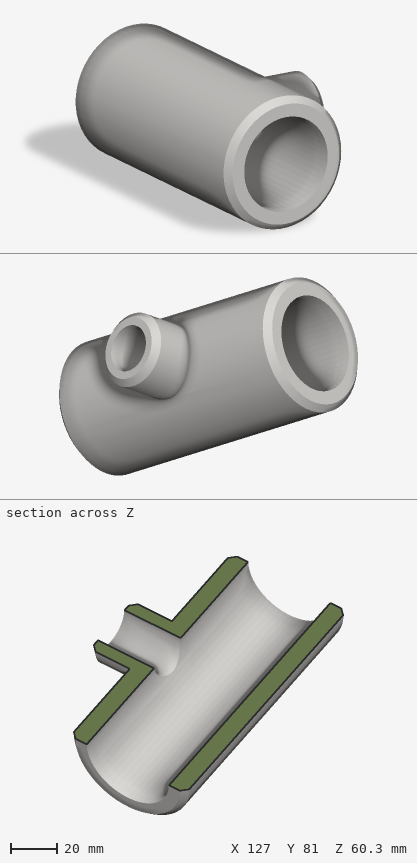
import cadquery as cq

run_length = 127.0
run_diameter = 60.3
run_bore = 42.8
branch_diameter = 33.4
branch_bore = 20.7
branch_reach = 50.8
bevel = 2.9


def make_run():
    """Solid run, centred on the origin and bevelled at both ends."""
    body = cq.Workplane("YZ").circle(run_diameter / 2).extrude(run_length / 2, both=True)
    return body.faces("<X or >X").chamfer(bevel)


def branch_cylinder(diameter):
    """Cylinder from the run axis to the branch end face."""
    return cq.Workplane("XZ").circle(diameter / 2).extrude(-branch_reach)


def make_branch():
    """Solid branch, bevelled at its open end."""
    return branch_cylinder(branch_diameter).faces(">Y").chamfer(bevel)


def make_passages():
    """Through bore of the run joined by the branch bore."""
    run_passage = cq.Workplane("YZ").circle(run_bore / 2).extrude(run_length / 2, both=True)
    return run_passage.union(branch_cylinder(branch_bore))


result = make_run().union(make_branch()).cut(make_passages())